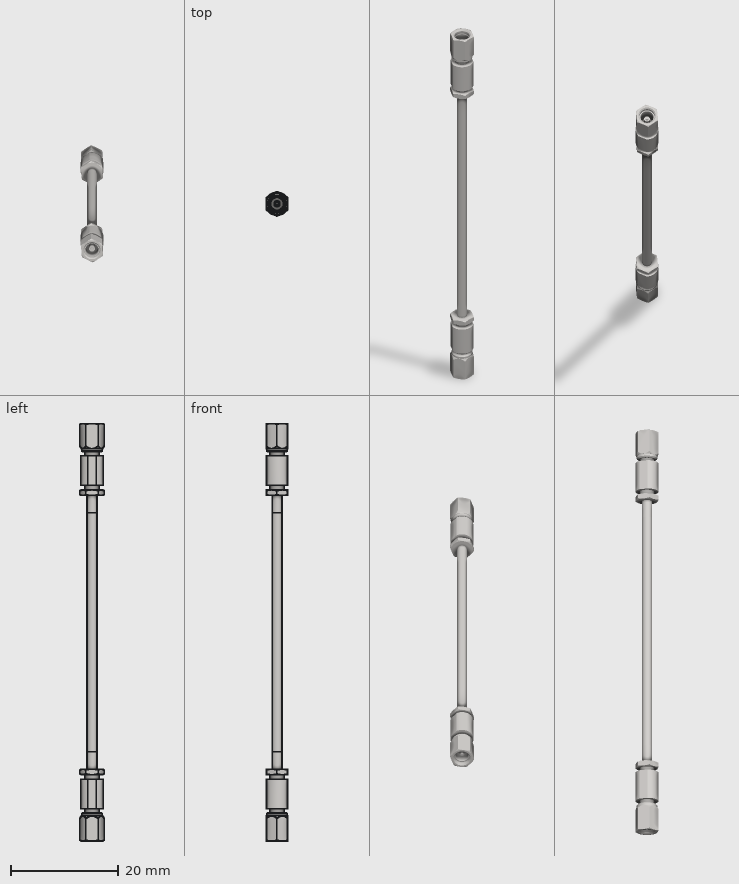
import cadquery as cq
import math

length = 77.8
end_z = length / 2

hex_flats = 4.0
hex_corners = hex_flats / math.cos(math.radians(30))

nut_hex_length = 4.7
nut_length = 5.3
collar_diameter = 3.9
collar_chamfer = 0.2
nut_front_bevel = 0.15
nut_rear_bevel = 0.5
nut_bore_diameter = 2.8
nut_bore_depth = 0.8
nut_throat_diameter = 2.4
nut_mouth_chamfer = 0.2

pin_tip_depth = 1.25
pin_tip_diameter = 0.55
pin_shoulder_depth = 1.55
pin_diameter = 1.1
neck_start_depth = 3.9
neck_diameter = 2.7
barrel_depth = 6.0
barrel_end_depth = 11.5
barrel_diameter = 4.3
flange_depth = 12.4
flange_end_depth = 13.4
flange_bevel = 0.15
ferrule_end_depth = 16.65
ferrule_diameter = 1.9

cable_diameter = ferrule_diameter


def rod(diameter, start_depth, end_depth):
    """Cylinder on the cable axis between two depths below the upper mating face."""
    base = cq.Workplane("XY", origin=(0, 0, end_z - end_depth))
    return base.circle(diameter / 2).extrude(end_depth - start_depth)


def hexagon(start_depth, end_depth, start_bevel, end_bevel):
    """Hexagonal prism with flats on +X and -X and its corners bevelled at both ends."""
    flat_radius = hex_flats / 2
    corner_radius = hex_corners / 2
    top = end_z - start_depth
    bottom = end_z - end_depth
    prism = cq.Workplane("XY", origin=(0, 0, bottom)).polygon(6, hex_corners).extrude(top - bottom)
    prism = prism.rotate((0, 0, 0), (0, 0, 1), 90)
    envelope = (
        cq.Workplane("XZ")
        .moveTo(0, top)
        .lineTo(flat_radius, top)
        .lineTo(corner_radius, top - start_bevel)
        .lineTo(corner_radius, bottom + end_bevel)
        .lineTo(flat_radius, bottom)
        .lineTo(0, bottom)
        .close()
        .revolve(360, (0, 0, 0), (0, 1, 0))
    )
    return prism.intersect(envelope)


def make_nut():
    """Upper coupling nut: hexagon and rear collar, with a stepped bore that holds the body's neck."""
    collar = rod(collar_diameter, nut_hex_length, nut_length).faces("<Z").chamfer(collar_chamfer)
    nut = hexagon(0, nut_hex_length, nut_front_bevel, nut_rear_bevel).union(collar)
    bore = rod(nut_bore_diameter, 0, nut_bore_depth)
    mouth = (
        cq.Workplane("XY", origin=(0, 0, end_z))
        .circle(nut_bore_diameter / 2 + nut_mouth_chamfer)
        .extrude(-nut_mouth_chamfer, taper=45)
    )
    throat = rod(nut_throat_diameter, 0, neck_start_depth)
    neck_hole = rod(neck_diameter, neck_start_depth, nut_length)
    return nut.cut(bore).cut(mouth).cut(throat).cut(neck_hole)


def make_body():
    """Upper connector body: centre pin, neck, flatted barrel, hexagonal flange and cable ferrule."""
    barrel = rod(barrel_diameter, barrel_depth, barrel_end_depth)
    flats = cq.Workplane("XY").box(hex_flats, barrel_diameter, length)
    return (
        rod(pin_tip_diameter, pin_tip_depth, pin_shoulder_depth)
        .union(rod(pin_diameter, pin_shoulder_depth, neck_start_depth))
        .union(rod(neck_diameter, neck_start_depth, flange_depth))
        .union(barrel.intersect(flats))
        .union(hexagon(flange_depth, flange_end_depth, flange_bevel, flange_bevel))
        .union(rod(ferrule_diameter, flange_end_depth, ferrule_end_depth))
    )


cable = rod(cable_diameter, ferrule_end_depth, length - ferrule_end_depth)
bodies = [cable.val()]
for make_upper in (make_nut, make_body):
    upper = make_upper()
    lower = upper.mirror("XY")
    bodies += [upper.val(), lower.val()]
result = cq.Compound.makeCompound(bodies)